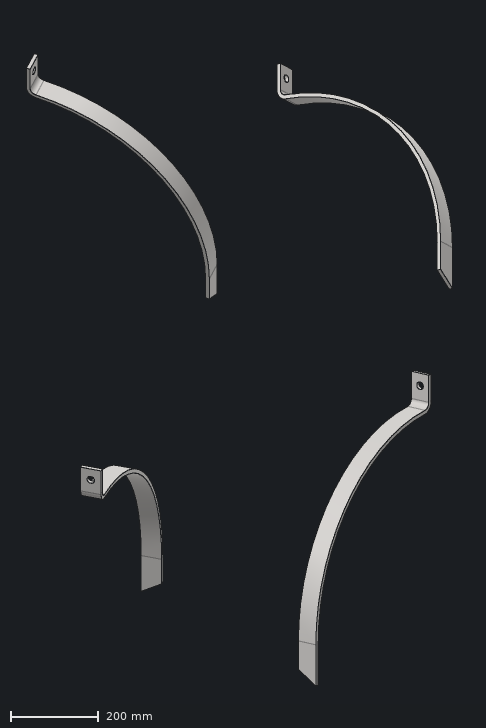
import cadquery as cq
import math

height = 630.0
strip_width = 50.0
thickness = 10.0

arc_outer_radius = 450.0
arc_inner_radius = arc_outer_radius - thickness
leg_length = 100.0
bend_inner_radius = 15.0
bend_outer_radius = bend_inner_radius + thickness

hole_diameter = 17.5
hole_from_top = 30.0

slant_height = 31.5

bend_x = bend_outer_radius
bend_rise = math.sqrt((arc_outer_radius + bend_inner_radius) ** 2 - bend_x**2)
bend_z = leg_length + bend_rise
joint_angle = math.atan2(bend_rise, bend_x)


def on_large_arc(radius, angle):
    return (radius * math.cos(angle), leg_length + radius * math.sin(angle))


def on_bend(radius, angle):
    return (bend_x + radius * math.cos(angle), bend_z + radius * math.sin(angle))


def bent_strip():
    arc_middle = joint_angle / 2
    bend_end = joint_angle + math.pi
    bend_middle = (math.pi + bend_end) / 2
    return (
        cq.Workplane("XZ")
        .moveTo(arc_outer_radius, 0)
        .lineTo(arc_outer_radius, leg_length)
        .threePointArc(
            on_large_arc(arc_outer_radius, arc_middle),
            on_large_arc(arc_outer_radius, joint_angle),
        )
        .threePointArc(on_bend(bend_inner_radius, bend_middle), (thickness, bend_z))
        .lineTo(thickness, height)
        .lineTo(0, height)
        .lineTo(0, bend_z)
        .threePointArc(
            on_bend(bend_outer_radius, bend_middle),
            on_large_arc(arc_inner_radius, joint_angle),
        )
        .threePointArc(
            on_large_arc(arc_inner_radius, arc_middle),
            (arc_inner_radius, leg_length),
        )
        .lineTo(arc_inner_radius, 0)
        .close()
        .extrude(-strip_width)
    )


def tab_hole():
    return (
        cq.Workplane("YZ")
        .center(strip_width / 2, height - hole_from_top)
        .circle(hole_diameter / 2)
        .extrude(thickness)
    )


def slanted_end():
    """Wedge removed from the leg, leaving its tip on the +Y edge."""
    return (
        cq.Workplane("YZ")
        .polyline([(0, 0), (strip_width, 0), (0, slant_height)])
        .close()
        .extrude(arc_outer_radius)
    )


result = bent_strip().cut(tab_hole()).cut(slanted_end())